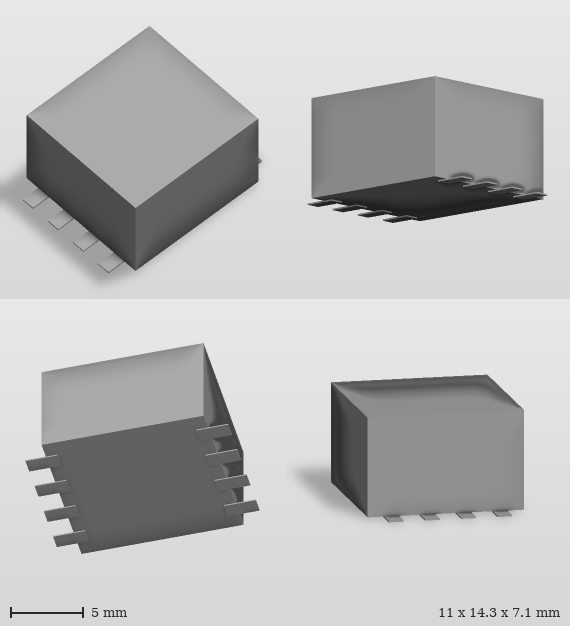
import cadquery as cq

housing_length_x = 11.0
housing_width_y = 11.46
housing_height = 7.0

leads_per_side = 4
lead_pitch = 2.54
lead_width = 1.04
lead_length = 2.25
lead_thickness = 0.1
span_over_leads = 14.34

lead_center_y = (span_over_leads - lead_length) / 2


def make_housing():
    """Plain block resting on top of the leads."""
    return (
        cq.Workplane("XY")
        .workplane(offset=lead_thickness)
        .rect(housing_length_x, housing_width_y)
        .extrude(housing_height)
    )


def make_lead(center_x, center_y):
    """Flat strip touching the underside of the housing."""
    return (
        cq.Workplane("XY")
        .center(center_x, center_y)
        .rect(lead_width, lead_length)
        .extrude(lead_thickness)
    )


housing = make_housing()

leads = []
for side in (-1, 1):
    for index in range(leads_per_side):
        center_x = (index - (leads_per_side - 1) / 2) * lead_pitch
        leads.append(make_lead(center_x, side * lead_center_y))

result = cq.Compound.makeCompound([housing.val(), *[lead.val() for lead in leads]])